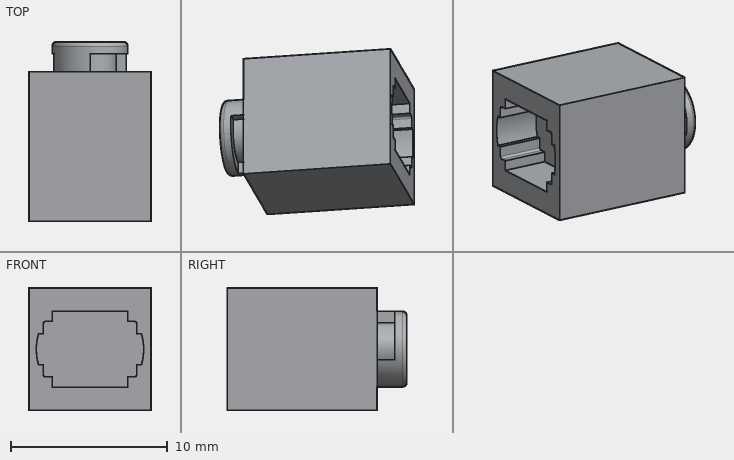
import cadquery as cq

block_width = 7.8
total_length = 11.45
knob_length = 1.9
block_length = total_length - knob_length

socket_depth = 3.0
socket_core_size = 4.83
shoulder_width = 5.95
shoulder_height = 3.53
shoulder_corner_radius = 0.14
lobe_diameter = 6.85
lobe_height = 1.97

knob_radius = 2.42
knob_rim_radius = 0.3
neck_length = 1.12
neck_radius = 1.67
stop_offset = 0.68


def sketch_at(y):
    """XZ sketch at a given Y, extruding toward +Y; its local axes are +X and -Z."""
    return cq.Workplane(cq.Plane(origin=(0, y, 0), xDir=(1, 0, 0), normal=(0, 1, 0)))


def make_block():
    return sketch_at(0).rect(block_width, block_width).extrude(block_length)


def make_socket():
    core = sketch_at(0).rect(socket_core_size, socket_core_size).extrude(socket_depth)
    shoulder = sketch_at(0).rect(shoulder_width, shoulder_height).extrude(socket_depth)
    shoulder = shoulder.edges("|Y").fillet(shoulder_corner_radius)
    lobe = sketch_at(0).circle(lobe_diameter / 2).extrude(socket_depth)
    lobe_band = sketch_at(0).rect(lobe_diameter, lobe_height).extrude(socket_depth)
    return core.union(shoulder).union(lobe.intersect(lobe_band))


def make_stop(side):
    """Full-radius neck segment: side -1 lies toward -X +Z, side 1 toward +X -Z."""
    stop_box = (
        sketch_at(block_length)
        .moveTo(0, side * stop_offset)
        .lineTo(side * knob_radius, side * stop_offset)
        .lineTo(side * knob_radius, side * knob_radius)
        .lineTo(0, side * knob_radius)
        .close()
        .extrude(neck_length)
    )
    return sketch_at(block_length).circle(knob_radius).extrude(neck_length).intersect(stop_box)


def make_knob():
    neck = sketch_at(block_length).circle(neck_radius).extrude(neck_length)
    for side in (-1, 1):
        neck = neck.union(make_stop(side))
    head = sketch_at(block_length + neck_length).circle(knob_radius).extrude(knob_length - neck_length)
    head = head.faces(">Y").edges().fillet(knob_rim_radius)
    return neck.union(head)


result = make_block().cut(make_socket()).union(make_knob())